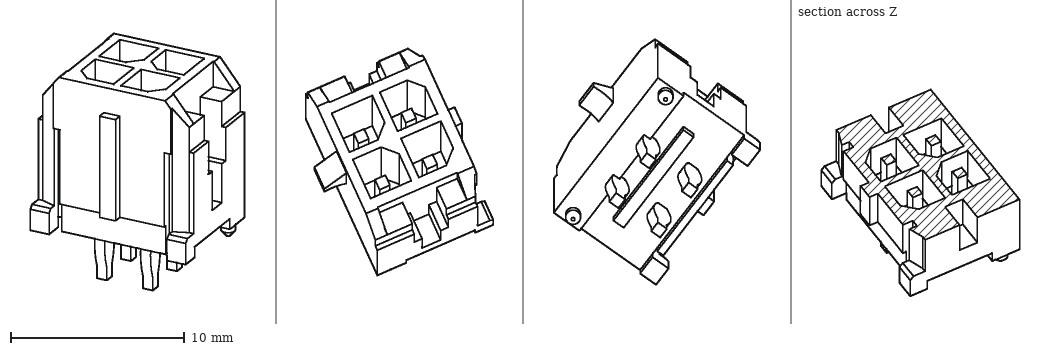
import cadquery as cq


WIDTH = 10.15
DEPTH = 6.85
HEIGHT = 9.88
STAND_OFF = 0.67

CORE_X = 3.4
ROOF_X = 3.47
FRONT_PANEL_X = 3.85
EAR_X = 4.79
PANEL_X = WIDTH / 2
EAR_TOP = 8.27
PANEL_TOP = 6.69

FRONT_WEDGE_END = 1.05
BACK_WEDGE_START = 6.09

CORNER_STEP = 0.15
EAR_FRONT = 0.5
GAP_DEPTH = 0.65
GAP_TOP = 6.56
LIP_TOP = 1.83
LIP_SETBACK = 0.21

SLOT_Y = DEPTH / 2
WIDE_SLOT_WIDTH = 2.16
WIDE_SLOT_BOTTOM = 4.58
NARROW_SLOT_WIDTH = 1.18
NARROW_SLOT_BOTTOM = 2.11

FOOT_TOP = 1.57
FOOT_REACH = 0.5
FOOT_CHAMFER = 0.22
BACK_BLOCK_START = 5.0
BAR_WIDTH = 0.73

PITCH = 3.0
FRONT_ROW_Y = 1.92
BACK_ROW_Y = FRONT_ROW_Y + PITCH
CELL_SIZE = 2.53
CELL_CHAMFER = 0.79
CELL_FLOOR = LIP_TOP
REAR_WALL_DRAFT = 0.05

PIN_WIDTH = 0.65
PIN_TOP = GAP_TOP
PIN_BOTTOM = HEIGHT - 13.09
BULGE_BOTTOM = -2.4
BULGE_WIDTH = 1.23

RIB_WIDTH = 1.05
RIB_REACH = 0.55

HOOK_WIDTH = 1.41
HOOK_TIP_Y = 8.25
HOOK_TOP = 9.33
HOOK_TIP_TOP = 7.7
HOOK_TIP_BOTTOM = 6.94
HOOK_ROOT = 6.43
HOOK_ARC_START = (7.8, 7.0)
HOOK_ARC_MIDDLE = (7.23, 6.87)

PEG_X = 4.5
PEG_Y = 5.88
PEG_RADIUS = 0.43
PEG_TIP_RADIUS = 0.1
PEG_SHOULDER = -0.5
PEG_BOTTOM = -0.88

SIDES = (-1, 1)


def box(x0, x1, y0, y1, z0, z1):
    """Axis-aligned block between two opposite corners; x0 and x1 in any order."""
    corner = (min(x0, x1), y0, z0)
    return cq.Workplane("XY").box(abs(x1 - x0), y1 - y0, z1 - z0, centered=False).translate(corner)


def extrude_along_x(side_outline, x_center, length):
    """Extrude a closed outline drawn in (Y, Z) symmetrically about x_center."""
    return side_outline.extrude(length / 2, both=True).translate((x_center, 0, 0))


def shell():
    """Outer body: roofed block with thicker panels on the sides."""
    roofed = (
        cq.Workplane("XZ")
        .polyline([
            (-EAR_X, 0), (-EAR_X, EAR_TOP), (-ROOF_X, HEIGHT),
            (ROOF_X, HEIGHT), (EAR_X, EAR_TOP), (EAR_X, 0),
        ])
        .close()
        .extrude(-DEPTH)
    )
    return roofed.union(box(-PANEL_X, PANEL_X, EAR_FRONT, DEPTH, 0, PANEL_TOP))


def underside_cut():
    """Clearance under the body, leaving the bar and the front lip."""
    clearance = box(-PANEL_X, PANEL_X, 0, BACK_BLOCK_START, 0, STAND_OFF)
    lip = box(-CORE_X, CORE_X, 0, GAP_DEPTH, 0, STAND_OFF)
    bar = box(-CORE_X, CORE_X, SLOT_Y - BAR_WIDTH / 2, SLOT_Y + BAR_WIDTH / 2, 0, STAND_OFF)
    return clearance.cut(lip).cut(bar)


def side_cut(side):
    """Everything removed from one side wall outside the core."""
    inner = side * CORE_X
    outer = side * PANEL_X
    cut = box(inner, outer, FRONT_WEDGE_END, BACK_WEDGE_START, EAR_TOP, HEIGHT)
    for width, bottom in (
        (WIDE_SLOT_WIDTH, WIDE_SLOT_BOTTOM),
        (NARROW_SLOT_WIDTH, NARROW_SLOT_BOTTOM),
    ):
        cut = cut.union(box(inner, outer, SLOT_Y - width / 2, SLOT_Y + width / 2, bottom, HEIGHT))
    return cut


def front_corner_cut(side):
    """Bevel on the ear's front and the gap between the ear and the front panel."""
    bevel = (
        cq.Workplane("XY")
        .polyline([
            (side * FRONT_PANEL_X, 0), (side * FRONT_PANEL_X, CORNER_STEP),
            (side * EAR_X, EAR_FRONT), (side * PANEL_X, EAR_FRONT), (side * PANEL_X, 0),
        ])
        .close()
        .extrude(HEIGHT)
    )
    return bevel.union(box(side * CORE_X, side * FRONT_PANEL_X, 0, GAP_DEPTH, 0, GAP_TOP))


def foot(side):
    """Front foot with a bevelled upper front edge."""
    block = box(side * FRONT_PANEL_X, side * PANEL_X, -FOOT_REACH, GAP_DEPTH, 0, FOOT_TOP)
    return block.faces("<Y").edges(">Z").chamfer(FOOT_CHAMFER)


def cell(x, y, keyed_corner):
    """Square contact cavity with one vertical front corner chamfered."""
    half = CELL_SIZE / 2
    cavity = box(x - half, x + half, y - half, y + half, CELL_FLOOR, HEIGHT)
    return cavity.edges("|Z").edges("<Y").edges(keyed_corner).chamfer(CELL_CHAMFER)


def rear_wall_draft(x):
    """Wedge cut from the rear wall of a back-row cell, widening it slightly at the mouth."""
    wall_y = BACK_ROW_Y + CELL_SIZE / 2
    outline = (
        cq.Workplane("YZ")
        .polyline([(wall_y, CELL_FLOOR), (wall_y, HEIGHT), (wall_y + REAR_WALL_DRAFT, HEIGHT)])
        .close()
    )
    return extrude_along_x(outline, x, CELL_SIZE)


def contact(x, y):
    """Square pin whose tail bulges where it is pressed into the board."""
    half = PIN_WIDTH / 2
    half_bulge = BULGE_WIDTH / 2
    bulge_middle = (STAND_OFF + BULGE_BOTTOM) / 2
    outline = (
        cq.Workplane("YZ")
        .moveTo(y - half, PIN_TOP)
        .lineTo(y - half, STAND_OFF)
        .threePointArc((y - half_bulge, bulge_middle), (y - half, BULGE_BOTTOM))
        .lineTo(y - half, PIN_BOTTOM)
        .lineTo(y + half, PIN_BOTTOM)
        .lineTo(y + half, BULGE_BOTTOM)
        .threePointArc((y + half_bulge, bulge_middle), (y + half, STAND_OFF))
        .lineTo(y + half, PIN_TOP)
        .close()
    )
    return extrude_along_x(outline, x, PIN_WIDTH)


def hook():
    """Latch ramp with a concave underside."""
    outline = (
        cq.Workplane("YZ")
        .moveTo(DEPTH, HOOK_TOP)
        .lineTo(HOOK_TIP_Y, HOOK_TIP_TOP)
        .lineTo(HOOK_TIP_Y, HOOK_TIP_BOTTOM)
        .lineTo(*HOOK_ARC_START)
        .threePointArc(HOOK_ARC_MIDDLE, (DEPTH, HOOK_ROOT))
        .close()
    )
    return extrude_along_x(outline, 0, HOOK_WIDTH)


def peg(side):
    """Round locating peg with a tapered end."""
    return (
        cq.Workplane("XZ")
        .polyline([
            (0, 0), (side * PEG_RADIUS, 0), (side * PEG_RADIUS, PEG_SHOULDER),
            (side * PEG_TIP_RADIUS, PEG_BOTTOM), (0, PEG_BOTTOM),
        ])
        .close()
        .revolve(360, (0, 0, 0), (0, 1, 0))
        .translate((side * PEG_X, PEG_Y, 0))
    )


result = shell().cut(underside_cut())
for side in SIDES:
    result = result.cut(side_cut(side)).cut(front_corner_cut(side))
    result = result.union(foot(side)).union(peg(side))
result = result.cut(box(-CORE_X, CORE_X, 0, LIP_SETBACK, 0, LIP_TOP))
result = result.union(box(-RIB_WIDTH / 2, RIB_WIDTH / 2, -RIB_REACH, 0, LIP_TOP, EAR_TOP))
result = result.union(hook())

for side in SIDES:
    x = side * PITCH / 2
    outer_corner = ">X" if side > 0 else "<X"
    inner_corner = "<X" if side > 0 else ">X"
    for y, keyed_corner in ((FRONT_ROW_Y, outer_corner), (BACK_ROW_Y, inner_corner)):
        result = result.cut(cell(x, y, keyed_corner)).union(contact(x, y))
    result = result.cut(rear_wall_draft(x))